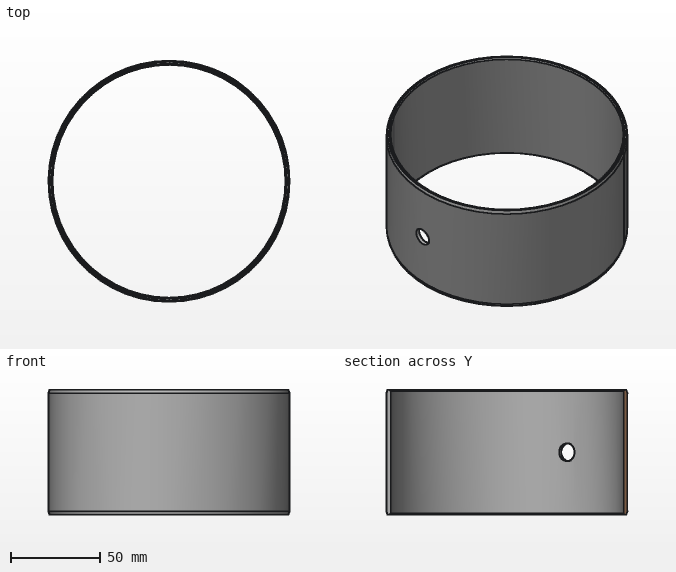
import cadquery as cq

outer_diameter = 135.0
height = 70.0
wall = 2.4
outer_radius = outer_diameter / 2
bore_radius = outer_radius - wall
half_height = height / 2

outer_bevel_height = 2.0
outer_bevel_depth = 0.7
inner_bevel = 0.8

split_width = 1.0

hole_diameter = 10.0
hole_angle = 59.0


def make_sleeve():
    """Revolve the bevelled wall section about Z."""
    outer_rim_radius = outer_radius - outer_bevel_depth
    inner_rim_radius = bore_radius + inner_bevel
    outer_bevel_start = half_height - outer_bevel_height
    inner_bevel_start = half_height - inner_bevel
    section = [
        (bore_radius, -inner_bevel_start),
        (inner_rim_radius, -half_height),
        (outer_rim_radius, -half_height),
        (outer_radius, -outer_bevel_start),
        (outer_radius, outer_bevel_start),
        (outer_rim_radius, half_height),
        (inner_rim_radius, half_height),
        (bore_radius, inner_bevel_start),
    ]
    return cq.Workplane("XZ").polyline(section).close().revolve(360, (0, 0, 0), (0, 1, 0))


def make_split():
    """Full-height slot reaching from the axis out past the -X wall."""
    slot = cq.Workplane("XY").box(outer_diameter, split_width, height)
    return slot.translate((-outer_radius, split_width / 2, 0))


def make_hole():
    """Radial cylinder at mid height, from the axis out past the wall."""
    cylinder = cq.Workplane("YZ").circle(hole_diameter / 2).extrude(outer_diameter)
    return cylinder.rotate((0, 0, 0), (0, 0, 1), hole_angle)


result = make_sleeve().cut(make_split()).cut(make_hole())